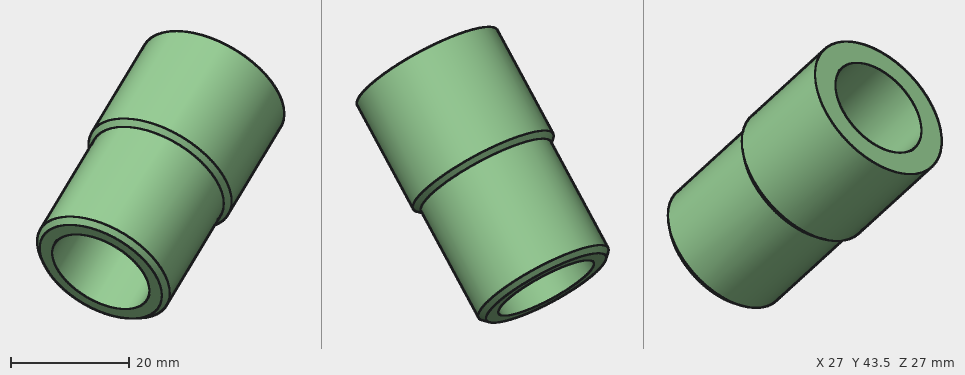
import cadquery as cq

total_length = 43.5
large_diameter = 27.0
small_diameter = 25.0
bore_diameter = 18.3
small_length = 22.0
end_chamfer = 1.0

large_radius = large_diameter / 2
small_radius = small_diameter / 2
bore_radius = bore_diameter / 2
shoulder_chamfer = large_radius - small_radius

front_y = -total_length / 2
back_y = total_length / 2
shoulder_y = front_y + small_length


def sleeve_profile():
    """Half section of the sleeve wall, with X as radius and Y along the axis."""
    return (
        cq.Workplane("XY")
        .moveTo(bore_radius, front_y)
        .lineTo(small_radius - end_chamfer, front_y)
        .lineTo(small_radius, front_y + end_chamfer)
        .lineTo(small_radius, shoulder_y)
        .lineTo(large_radius, shoulder_y + shoulder_chamfer)
        .lineTo(large_radius, back_y)
        .lineTo(bore_radius, back_y)
        .close()
    )


result = sleeve_profile().revolve(360, (0, 0, 0), (0, 1, 0))